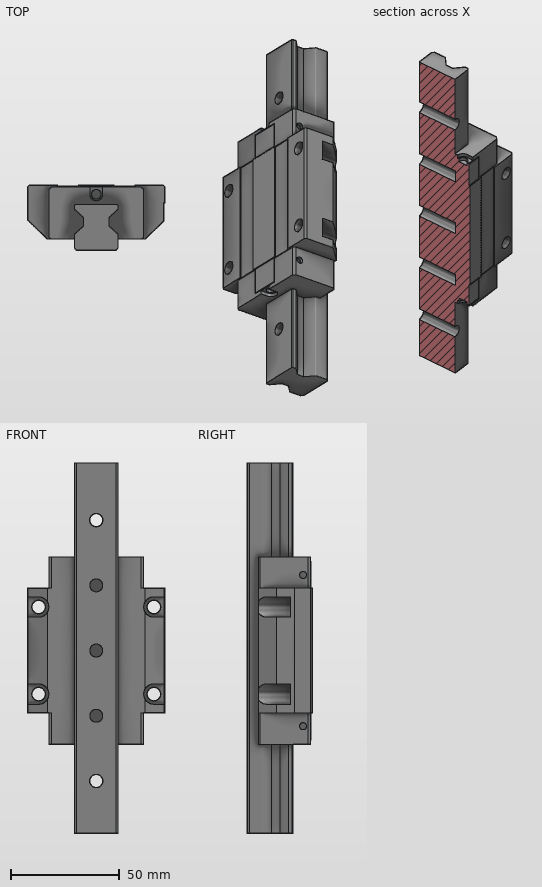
import cadquery as cq

rail_length = 170
rail_half_width = 10.0
rail_height = 21.0
rail_waist_half_width = 5.8
rail_foot_height = 7.3
rail_slope_rise = 3.9
rail_waist_bottom = rail_foot_height + rail_slope_rise
rail_waist_top = 15.0
rail_head_bottom = rail_waist_top + rail_slope_rise
rail_foot_chamfer = 1.0
rail_shoulder_radius = 0.7
rail_head_chamfer = 0.5
rail_hole_diameter = 6.0
rail_hole_pitch = 30.0
rail_hole_count = 5

carriage_center_z = -1.1
carriage_length = 86.0
carriage_bottom = 5.1
carriage_top = 30.0

body_length = 57.3
body_width = 63.0
body_half_width = body_width / 2
body_bottom_half_width = 22.5
body_slope_top = 14.0
body_edge_chamfer = 0.8
side_relief_depth = 0.5
side_relief_top = 21.8
top_groove_depth = 0.5
top_groove_inner = 8.2
top_groove_outer = 17.8

mount_spacing_x = 52.9
mount_spacing_z = 40.0
mount_hole_diameter = 6.1
mount_pocket_width = 9.4
mount_pocket_floor = 19.9

cap_half_width = 21.8
cap_top = 29.0
cap_chamfer_x = 1.2
cap_top_chamfer_y = 1.2
cap_bottom_chamfer_y = 0.8
cap_length = (carriage_length - body_length) / 2
cap_pad_half_width = 7.1
cap_pad_top = 29.4
cap_pad_end_gap = 2.0
side_port_diameter = 3.2
side_port_depth = 1.7
side_port_height = 25.7
side_port_end_gap = 8.3

port_height = 25.7
port_slot_width = 6.0
port_slot_depth = 1.7
port_hole_diameter = 4.5
port_hole_depth = 1.7


def mirrored_outline(right_side):
    """Closed XY outline from its right half, listed bottom to top."""
    return right_side + [(-x, y) for x, y in reversed(right_side)]


def extrude_along_z(outline, length, center_z):
    """Prism of an XY outline, centred on center_z."""
    return cq.Workplane("XY").workplane(offset=center_z - length / 2).polyline(outline).close().extrude(length)


def box(x_range, y_range, z_range):
    """Box between the given limits on each axis."""
    (x0, x1), (y0, y1), (z0, z1) = x_range, y_range, z_range
    return cq.Workplane("XY").box(x1 - x0, y1 - y0, z1 - z0, centered=False).translate((x0, y0, z0))


def cylinder(diameter, length, start, direction):
    """Cylinder running from start along direction."""
    return cq.Workplane(cq.Solid.makeCylinder(diameter / 2, length, cq.Vector(*start), cq.Vector(*direction)))


def make_rail():
    right_side = [
        (rail_half_width - rail_foot_chamfer, 0),
        (rail_half_width, rail_foot_chamfer),
        (rail_half_width, rail_foot_height),
        (rail_waist_half_width, rail_waist_bottom),
        (rail_waist_half_width, rail_waist_top),
        (rail_half_width, rail_head_bottom),
        (rail_half_width, rail_height - rail_head_chamfer),
        (rail_half_width - rail_head_chamfer, rail_height),
    ]
    rail = extrude_along_z(mirrored_outline(right_side), rail_length, 0)
    for side in (-1, 1):
        shoulder = cq.NearestToPointSelector((side * rail_half_width, rail_foot_height, 0))
        rail = rail.edges(shoulder).fillet(rail_shoulder_radius)
    return rail


def make_body():
    right_side = [
        (body_bottom_half_width, carriage_bottom),
        (body_half_width, body_slope_top),
        (body_half_width, carriage_top - body_edge_chamfer),
        (body_half_width - body_edge_chamfer, carriage_top),
    ]
    body = extrude_along_z(mirrored_outline(right_side), body_length, carriage_center_z)
    z_range = (carriage_center_z - body_length / 2, carriage_center_z + body_length / 2)

    relief_x_range = (body_half_width - side_relief_depth, body_half_width)
    body = body.cut(box(relief_x_range, (carriage_bottom, side_relief_top), z_range))

    y_range = (carriage_top - top_groove_depth, carriage_top)
    for x_range in ((-top_groove_outer, -top_groove_inner), (top_groove_inner, top_groove_outer)):
        body = body.cut(box(x_range, y_range, z_range))
    return body


def cut_flange_mount(body, side, z):
    """Hole and pocket at height z on the flange at side (-1 or +1 along X)."""
    x = side * mount_spacing_x / 2
    flank = side * body_half_width
    half_pocket = mount_pocket_width / 2
    body = body.cut(cylinder(mount_hole_diameter, carriage_top, (x, 0, z), (0, 1, 0)))
    pocket = (
        cq.Workplane("XZ", origin=(0, carriage_bottom, 0))
        .moveTo(flank, z - half_pocket)
        .lineTo(x, z - half_pocket)
        .threePointArc((x - side * half_pocket, z), (x, z + half_pocket))
        .lineTo(flank, z + half_pocket)
        .close()
        .extrude(carriage_bottom - mount_pocket_floor)
    )
    return body.cut(pocket)


def make_end_cap(end):
    """End cap at the -Z (end = -1) or +Z (end = +1) end of the body."""
    end_z = carriage_center_z + end * carriage_length / 2
    body_z = end_z - end * cap_length
    right_side = [
        (cap_half_width - cap_chamfer_x, carriage_bottom),
        (cap_half_width, carriage_bottom + cap_bottom_chamfer_y),
        (cap_half_width, cap_top - cap_top_chamfer_y),
        (cap_half_width - cap_chamfer_x, cap_top),
    ]
    cap = extrude_along_z(mirrored_outline(right_side), cap_length, (end_z + body_z) / 2)
    pad_z = end_z - end * cap_pad_end_gap
    cap = cap.union(box(
        (-cap_pad_half_width, cap_pad_half_width),
        (port_height, cap_pad_top),
        (min(pad_z, body_z), max(pad_z, body_z)),
    ))
    port_z = end_z - end * side_port_end_gap
    for side in (-1, 1):
        start = (side * cap_half_width, side_port_height, port_z)
        cap = cap.cut(cylinder(side_port_diameter, side_port_depth, start, (-side, 0, 0)))

    slot_z = end_z - end * port_slot_depth
    inward = (0, 0, -end)
    cap = cap.cut(cylinder(port_slot_width, port_slot_depth, (0, port_height, end_z), inward))
    cap = cap.cut(box(
        (-port_slot_width / 2, port_slot_width / 2),
        (port_height, cap_top),
        (min(slot_z, end_z), max(slot_z, end_z)),
    ))
    return cap.cut(cylinder(port_hole_diameter, port_hole_depth, (0, port_height, slot_z), inward))


body = make_body()
for side in (-1, 1):
    for end in (-1, 1):
        body = cut_flange_mount(body, side, carriage_center_z + end * mount_spacing_z / 2)

result = make_rail().union(body).union(make_end_cap(-1)).union(make_end_cap(1))

for index in range(rail_hole_count):
    hole_z = carriage_center_z + (index - (rail_hole_count - 1) / 2) * rail_hole_pitch
    result = result.cut(cylinder(rail_hole_diameter, rail_height, (0, 0, hole_z), (0, 1, 0)))